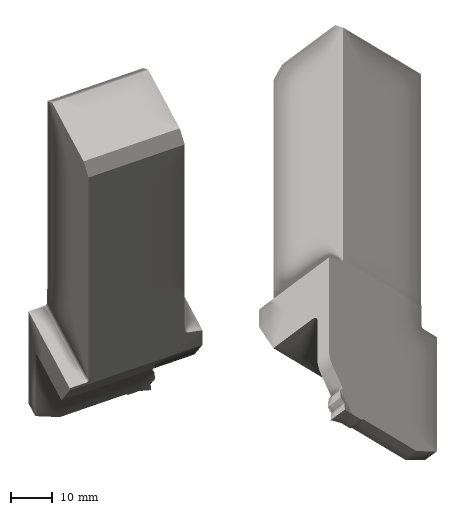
import cadquery as cq
import math


total_height = 125.6
shank_size = 25.0
top_chamfer_width = 3.0
top_chamfer_height = 2.8
relief_depth = 0.1
relief_top = 49.0
relief_bottom = 47.7

blade_thickness = 4.1
blade_bottom = 1.0
blade_root = 30.5
blade_root_radius = 1.9
nose_top = 40.6
nose_run = 5.0
head_back = -4.9
head_front = 29.6
back_shoulder = 41.5
back_shoulder_radius = 0.8
front_shoulder_outer = 46.3
front_shoulder_inner = 47.7
front_shoulder_radius = 1.5
back_corner_width = 6.4
back_corner_height = 3.8
front_slope_top = 14.1
front_slope_end = (25.5, 7.4)
front_slope_radius = 7.5
seat_start = (25.4, 6.7)
seat_end = (19.5, blade_bottom)

tip_overhang = 0.5
flare_start = (26.1, 5.7)
flare_end = (22.1, 0.5)
tip = (shank_size, 0.0)
insert_outline = [
    flare_start, (25.6, 6.7), (24.6, 6.9), (24.1, 8.2), (23.1, 11.4), (20.8, 14.0),
    (16.2, 14.0), (15.5, 13.2), (15.5, 9.5), (18.2, 2.1), (18.6, 1.1), (19.2, 0.5),
    flare_end, tip, (tip[0], 2.1), (flare_start[0], 3.4),
]


def extrude_across(outline, x_start, x_end):
    """Extrude a (Y, Z) outline from x_start to x_end."""
    return cq.Workplane("YZ", origin=(x_start, 0, 0)).polyline(outline).close().extrude(x_end - x_start)


def fillet_x_edge(body, y, z, radius):
    """Round the edge along X that passes through the given Y and Z."""
    corner = cq.selectors.NearestToPointSelector((shank_size / 2, y, z))
    return body.edges("|X").edges(corner).fillet(radius)


def make_side_body():
    """Shank and head outline, extruded over the full width in X."""
    outline = [
        (0, total_height),
        (0, back_shoulder),
        (head_back, back_shoulder),
        (head_back, blade_bottom + back_corner_height),
        (head_back + back_corner_width, blade_bottom),
        seat_end,
        seat_start,
        front_slope_end,
        (head_front, front_slope_top),
        (head_front, front_shoulder_outer),
        (shank_size, front_shoulder_inner),
        (shank_size, total_height),
    ]
    body = extrude_across(outline, 0, shank_size)
    body = fillet_x_edge(body, 0, back_shoulder, back_shoulder_radius)
    body = fillet_x_edge(body, shank_size, front_shoulder_inner, front_shoulder_radius)
    return fillet_x_edge(body, head_front, front_slope_top, front_slope_radius)


def make_front_body():
    """Stepped outline in X and Z, extruded over the full depth in Y."""
    outline = [
        (0, blade_bottom),
        (0, relief_bottom),
        (relief_depth, relief_top),
        (relief_depth, total_height - top_chamfer_height),
        (top_chamfer_width, total_height),
        (shank_size - top_chamfer_width, total_height),
        (shank_size, total_height - top_chamfer_height),
        (shank_size, nose_top),
        (shank_size - nose_run, blade_root),
        (blade_thickness, blade_root),
        (blade_thickness, blade_bottom),
    ]
    body = cq.Workplane("XZ", origin=(0, head_front, 0)).polyline(outline).close()
    body = body.extrude(head_front - head_back)
    root = cq.selectors.NearestToPointSelector((blade_thickness, head_front / 2, blade_root))
    return body.edges("|Y").edges(root).fillet(blade_root_radius)


def make_holder():
    """Holder with a seat for the insert cut through its blade."""
    seat = extrude_across(insert_outline, 0, blade_thickness)
    return make_side_body().intersect(make_front_body()).cut(seat)


def make_insert():
    """Insert flush with the blade, widening evenly on both sides from the flare line to the tip."""
    run_y = flare_end[0] - flare_start[0]
    run_z = flare_end[1] - flare_start[1]
    run_length = math.hypot(run_y, run_z)
    outward_y = -run_z / run_length
    outward_z = run_y / run_length
    flare_length = (tip[0] - flare_start[0]) * outward_y + (tip[1] - flare_start[1]) * outward_z

    plane = cq.Plane(
        origin=(0, *flare_start),
        xDir=(1, 0, 0),
        normal=(0, -outward_z, outward_y),
    )
    section = [
        (0, -total_height),
        (0, 0),
        (-tip_overhang, flare_length),
        (blade_thickness + tip_overhang, flare_length),
        (blade_thickness, 0),
        (blade_thickness, -total_height),
    ]
    flare = cq.Workplane(plane).polyline(section).close().extrude(total_height, both=True)
    block = extrude_across(insert_outline, -tip_overhang, blade_thickness + tip_overhang)
    return block.intersect(flare)


holder = make_holder()
insert = make_insert()

result = cq.Compound.makeCompound([*holder.vals(), *insert.vals()])